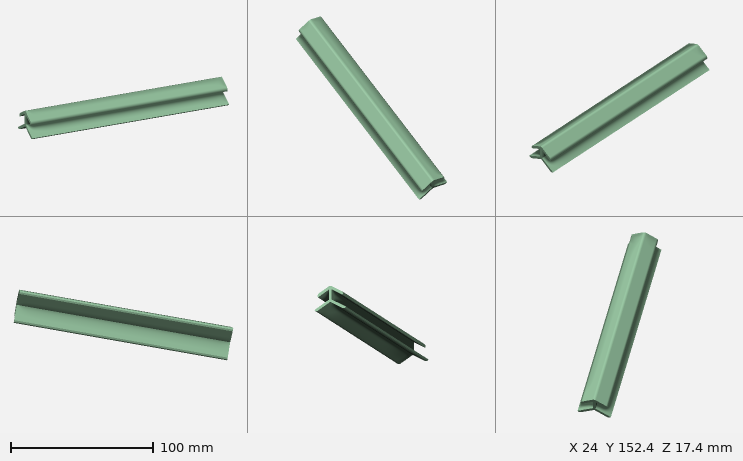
import cadquery as cq
import math

length = 152.4
height = 17.4
wall = 2.0
upper_wall = 2.1
arm_angle = math.radians(30)
foot_chamfer_angle = math.radians(45)
lower_half_width = 12.0
upper_half_width = 9.6
crown_radius = 2.3
underside_apex = 5.6

slope = math.tan(arm_angle)
arm_depth = wall / math.cos(arm_angle)
upper_arm_depth = upper_wall / math.cos(arm_angle)
web_half = wall / 2
face_normal = math.pi / 2 - arm_angle


def arc_point(center, radius, angle):
    """Point on an arc, with the angle measured from the +X direction."""
    return (
        center[0] + radius * math.cos(angle),
        center[1] + radius * math.sin(angle),
    )


def lower_arm_z(x):
    """Height of the lower arm's upper face."""
    return underside_apex + arm_depth - x * slope


def upper_arm_underside_z(x):
    """Height of the upper arm's lower face."""
    outer_apex = crown_center[1] + crown_radius / math.cos(arm_angle)
    return outer_apex - upper_arm_depth - x * slope


crown_center = (0, height - crown_radius)

nose_center_x = upper_half_width - upper_wall
nose_center = (nose_center_x, upper_arm_underside_z(nose_center_x))
nose_middle_angle = face_normal - math.pi / 4

tip_z = lower_arm_z(lower_half_width)
foot_outer_x = lower_half_width - tip_z * math.tan(foot_chamfer_angle)
foot_inner_x = underside_apex / slope

half_section = (
    cq.Workplane("XZ")
    .moveTo(0, underside_apex)
    .lineTo(foot_inner_x, 0)
    .lineTo(foot_outer_x, 0)
    .lineTo(lower_half_width, tip_z)
    .lineTo(web_half, lower_arm_z(web_half))
    .lineTo(web_half, upper_arm_underside_z(web_half))
    .lineTo(*arc_point(nose_center, upper_wall, -arm_angle))
    .threePointArc(
        arc_point(nose_center, upper_wall, nose_middle_angle),
        arc_point(nose_center, upper_wall, face_normal),
    )
    .lineTo(*arc_point(crown_center, crown_radius, face_normal))
    .threePointArc(
        arc_point(crown_center, crown_radius, math.pi / 2 - arm_angle / 2),
        (0, height),
    )
    .close()
)

half_body = half_section.extrude(length / 2, both=True)
result = half_body.union(half_body.mirror("YZ")).clean()